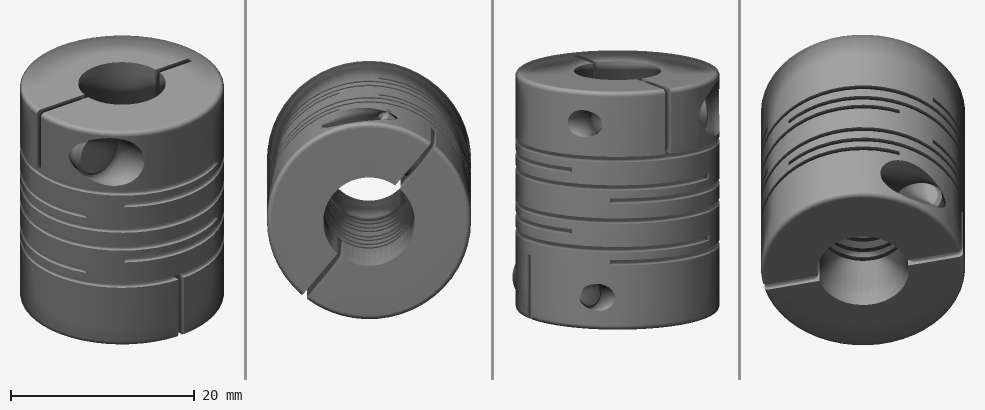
import cadquery as cq

body_diameter = 22.2
body_length = 26.5
edge_fillet = 0.5

upper_bore_diameter = 9.525
lower_bore_diameter = 9.95

slot_width = 0.6
slot_floor_offset = 6.2
first_slot_depth = 7.49
slot_spacing = 1.45
pair_pitch = 3.17
group_pitch = 6.85
group_count = 2
last_slot_depth = first_slot_depth + group_pitch + pair_pitch + slot_spacing

slots_in_group = [
    (0, -90),
    (slot_spacing, 90),
    (pair_pitch, 180),
    (pair_pitch + slot_spacing, 0),
]

slit_width = 0.75
upper_hub_length = first_slot_depth - slot_width / 2
lower_hub_length = body_length - last_slot_depth - slot_width / 2
upper_slit_end = 9.1

screw_offset = 7.25
screw_end_distance = 3.64
screw_diameter = 3.0
shank_length = 9.6
tip_chamfer = 0.3
head_diameter = 5.6
head_height = 3.0
head_edge_chamfer = 0.38
head_outer_face = 5.84
counterbore_diameter = 5.92
head_seat = head_outer_face - head_height


def make_body():
    """Filleted cylinder with the stepped bore along Z."""
    body = cq.Workplane("XY").circle(body_diameter / 2).extrude(body_length).edges().fillet(edge_fillet)
    lower_bore = cq.Workplane("XY").circle(lower_bore_diameter / 2).extrude(body_length - upper_hub_length)
    upper_bore = cq.Workplane("XY").circle(upper_bore_diameter / 2).extrude(body_length)
    return body.cut(lower_bore).cut(upper_bore)


def flexure_slot(z, angle):
    """Flat-floored slot open towards +X, turned about Z by the given angle."""
    length = slot_floor_offset + body_diameter
    slot = cq.Workplane("XY").box(length, body_diameter * 2, slot_width, centered=(False, True, True))
    return slot.translate((-slot_floor_offset, 0, z)).rotate((0, 0, 0), (0, 0, 1), angle)


def slit(start, end, z, height):
    """Clamp slit along X from start to end, with its base at z."""
    box = cq.Workplane("XY").box(end - start, slit_width, height, centered=(False, True, False))
    return box.translate((start, 0, z))


def cylinder_along_x(diameter, start, end):
    """Cylinder centred on the X axis, from start to end."""
    return cq.Workplane("YZ").workplane(offset=start).circle(diameter / 2).extrude(end - start)


def screw_hole():
    """Through hole along X with a counterbore open towards +X."""
    hole = cylinder_along_x(screw_diameter, -body_diameter, body_diameter)
    return hole.union(cylinder_along_x(counterbore_diameter, head_seat, body_diameter))


def clamp_screw():
    """Cap screw along X, its head towards +X."""
    shank = cylinder_along_x(screw_diameter, head_seat - shank_length, head_seat)
    shank = shank.faces("<X").chamfer(tip_chamfer)
    head = cylinder_along_x(head_diameter, head_seat, head_outer_face)
    head = head.faces(">X").edges().chamfer(head_edge_chamfer)
    return shank.union(head)


def on_upper_hub(shape):
    """Move a screw shape to the -Y side of the upper hub, head towards +X."""
    return shape.translate((0, -screw_offset, body_length - screw_end_distance))


def on_lower_hub(shape):
    """Move a screw shape to the -X side of the lower hub, head towards +Y."""
    turned = shape.rotate((0, 0, 0), (0, 0, 1), 90)
    return turned.translate((-screw_offset, 0, screw_end_distance))


result = make_body()

for group in range(group_count):
    group_height = body_length - first_slot_depth - group * group_pitch
    for depth, direction in slots_in_group:
        result = result.cut(flexure_slot(group_height - depth, direction))

upper_slit = slit(-upper_slit_end, body_diameter, body_length - upper_hub_length, upper_hub_length)
result = result.cut(upper_slit.rotate((0, 0, 0), (0, 0, 1), -90))
result = result.cut(slit(-body_diameter, body_diameter, 0, lower_hub_length))

for place_on_hub in (on_upper_hub, on_lower_hub):
    result = result.cut(place_on_hub(screw_hole()))
    result = result.union(place_on_hub(clamp_screw()))